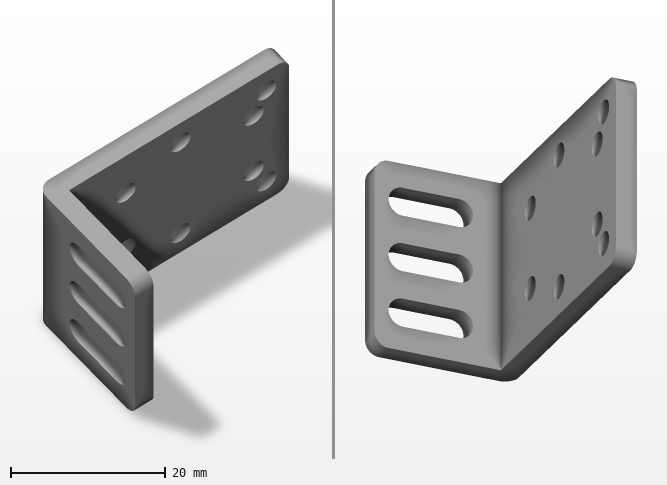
import cadquery as cq

width = 21.0
length = 39.0
height = 27.0
thickness = 3.0
corner_radius = 2.0
bend_radius = 2.0

slot_width = 4.0
slot_length = 12.0
slot_pitch = 8.0
slot_count = 3
slot_edge_gap = 2.0

hole_diameter = 3.3
hole_pairs = [
    (3.8, 19.0),
    (5.8, 11.6),
    (17.8, 19.0),
    (26.75, 11.6),
]


def make_bracket():
    """L-shaped plate, centred on Z, with its outside bend at the origin."""
    long_leg = cq.Workplane("XY").box(thickness, length, height, centered=(False, False, True))
    long_leg = long_leg.edges(">Y and |X").fillet(corner_radius)
    short_leg = cq.Workplane("XY").box(width, thickness, height, centered=(False, False, True))
    short_leg = short_leg.edges(">X and |Y").fillet(corner_radius)
    return long_leg.union(short_leg).edges("<X and <Y and |Z").fillet(bend_radius)


def make_slots():
    """Row of slots that pass through the short leg."""
    slot_x = width - slot_edge_gap - slot_length / 2
    return (
        cq.Workplane("XZ")
        .center(slot_x, 0)
        .rarray(0.4, slot_pitch, 1, slot_count)
        .slot2D(slot_length, slot_width)
        .extrude(-thickness)
    )


def make_holes():
    """Pairs of holes that pass through the long leg, mirrored about mid-height."""
    centers = [
        (length - end_distance, side * spacing / 2)
        for end_distance, spacing in hole_pairs
        for side in (-1, 1)
    ]
    return cq.Workplane("YZ").pushPoints(centers).circle(hole_diameter / 2).extrude(thickness)


result = make_bracket().cut(make_slots()).cut(make_holes())